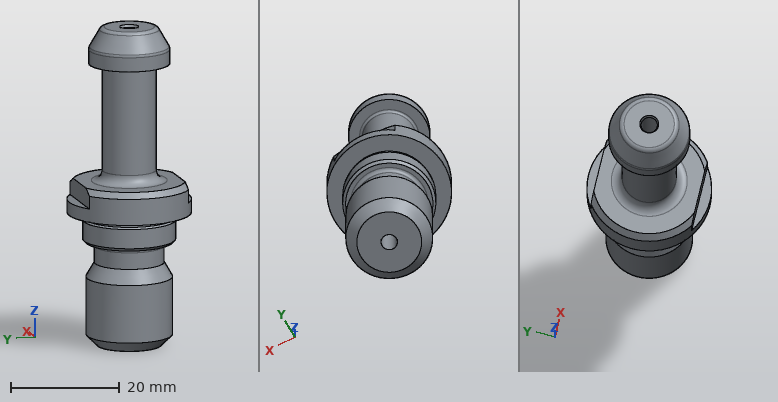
import cadquery as cq
import math

total_length = 60.0
bore_diameter = 3.0
bore_mouth_diameter = 3.5
bore_mouth_depth = 0.5

shank_radius = 16.0 / 2
shank_tip_chamfer = 2.05
shank_top = 12.9
cone_angle = math.radians(30)
neck_radius = 12.9 / 2
neck_fillet = 0.7

collar_radius = 17.15 / 2
collar_bottom = 19.45
collar_bottom_chamfer = 0.55
collar_top = 23.95
relief_radius = 16.5 / 2

flange_radius = 23.0 / 2
flange_bottom = 25.0
flange_top = 31.0
flange_edge_chamfer = 1.1
flat_spacing = 19.0
flat_bottom = 27.55

stem_radius = 10.0 / 2
stem_base_fillet = 2.0
stem_top_fillet = 0.5
head_radius = 15.0 / 2
head_bottom = 53.1
head_cone_base = 56.05
head_fillet = 1.0

neck_bottom = shank_top + (shank_radius - neck_radius) / math.tan(cone_angle)
head_top_radius = head_radius - (total_length - head_cone_base) * math.tan(cone_angle)
collar_top_chamfer = collar_radius - relief_radius


def turned_body():
    """Revolve the half profile about the Z axis."""
    outline = [
        (0, 0),
        (shank_radius - shank_tip_chamfer, 0),
        (shank_radius, shank_tip_chamfer),
        (shank_radius, shank_top),
        (neck_radius, neck_bottom),
        (neck_radius, collar_bottom),
        (collar_radius - collar_bottom_chamfer, collar_bottom),
        (collar_radius, collar_bottom + collar_bottom_chamfer),
        (collar_radius, collar_top - collar_top_chamfer),
        (relief_radius, collar_top),
        (relief_radius, flange_bottom),
        (flange_radius, flange_bottom),
        (flange_radius, flange_top - flange_edge_chamfer),
        (flange_radius - flange_edge_chamfer, flange_top),
        (stem_radius, flange_top),
        (stem_radius, head_bottom),
        (head_radius, head_bottom),
        (head_radius, head_cone_base),
        (head_top_radius, total_length),
        (0, total_length),
    ]
    profile = cq.Workplane("XZ").polyline(outline).close()
    return profile.revolve(360, (0, 0, 0), (0, 1, 0))


def circular_edge(body, radius, height):
    """Select the full circle of the given radius and height."""
    tolerance = 0.005

    def matches(edge):
        same_height = abs(edge.Center().z - height) < tolerance
        return edge.geomType() == "CIRCLE" and same_height and abs(edge.radius() - radius) < tolerance

    return body.newObject([edge for edge in body.edges().vals() if matches(edge)])


def round_edges(body):
    """Fillet the stem, neck and head corners of the turned body."""
    rounds = [
        (neck_radius, collar_bottom, neck_fillet),
        (stem_radius, flange_top, stem_base_fillet),
        (stem_radius, head_bottom, stem_top_fillet),
        (head_radius, head_cone_base, head_fillet),
        (head_top_radius, total_length, head_fillet),
    ]
    for radius, height, fillet in rounds:
        body = circular_edge(body, radius, height).fillet(fillet)
    return body


def cut_flats(body):
    """Cut the wrench flats into the upper part of the flange."""
    width = 2 * flange_radius
    for side in (-1, 1):
        cutter = cq.Workplane("XY").box(
            width, flange_radius, flange_top - flat_bottom, centered=(True, True, False)
        )
        offset_y = side * (flat_spacing + flange_radius) / 2
        body = body.cut(cutter.translate((0, offset_y, flat_bottom)))
    return body


def cut_bore(body):
    """Drill the through bore and flare its upper mouth into a cone."""
    body = body.faces(">Z").workplane().hole(bore_diameter)
    mouth_outline = [
        (0, total_length - bore_mouth_depth),
        (bore_diameter / 2, total_length - bore_mouth_depth),
        (bore_mouth_diameter / 2, total_length),
        (0, total_length),
    ]
    mouth = cq.Workplane("XZ").polyline(mouth_outline).close().revolve(360, (0, 0, 0), (0, 1, 0))
    return body.cut(mouth)


result = cut_bore(cut_flats(round_edges(turned_body())))